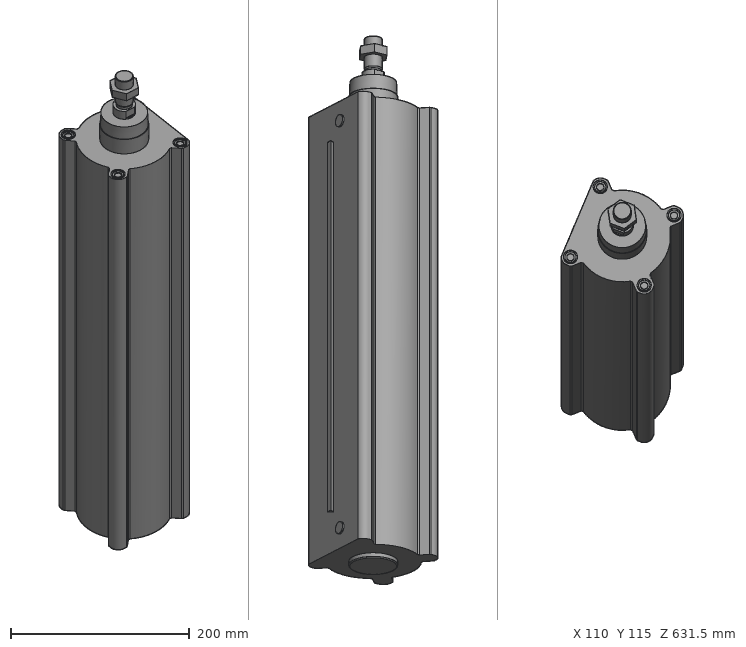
import cadquery as cq
import math

TOTAL_HEIGHT = 631.5
REAR_BOSS_HEIGHT = 5.5
BARREL_TOP = 541.0
BARREL_LENGTH = BARREL_TOP - REAR_BOSS_HEIGHT
COLLAR_STEP = 562.0
COLLAR_TOP = 579.0

HALF_WIDTH = 55.0
BARREL_DIAMETER = 108.0
BARREL_RADIUS = BARREL_DIAMETER / 2
BACK_FACE_Y = 54.0
SCREW_SPACING = 89.0
SCREW_OFFSET = SCREW_SPACING / 2
LOBE_RADIUS = HALF_WIDTH - SCREW_OFFSET
LOBE_FLAT = 4.0
LOBE_BEVEL_RUN = 2.0
LOBE_BEVEL_DROP = 0.95
NOTCH_FLOOR_START = 31.0
NOTCH_FLOOR_END = 28.5

BOSS_DIAMETER = 55.0
REAR_BOSS_CHAMFER = 1.0
COLLAR_BASE_DIAMETER = 53.5
COLLAR_TOP_DIAMETER = 52.5

SCREW_RECESS_DIAMETER = 16.0
SCREW_RECESS_DEPTH = 0.5
SCREW_SEAT_DIAMETER = 12.5
SCREW_SEAT_DEPTH = 1.0
SCREW_SOCKET_DIAMETER = 8.0
SCREW_SOCKET_DEPTH = 2.5

RAIL_BOTTOM = 53.0
RAIL_TOP = 496.0
RAIL_CREST_Y = 60.0
RAIL_CREST_WIDTH = 7.0
RAIL_FOOT_WIDTH = 1.0

PLUG_DIAMETER = 14.0
PLUG_HEIGHT = 2.0
PLUG_X = -14.0
PLUG_END_DISTANCE = 24.0

ROD_DIAMETER = 25.0
ROD_TOP = 590.5
ROD_FLATS_WIDTH = 22.0
ROD_FLATS_BOTTOM = 581.0
RELIEF_DIAMETER = 18.0
RELIEF_TOP = 593.5
THREAD_START = 595.5
THREAD_DIAMETER = 20.0
THREAD_CHAMFER = 0.5

NUT_ACROSS_FLATS = 29.5
NUT_BOTTOM = 609.5
NUT_THICKNESS = 10.0


def cylinder(diameter, bottom, top):
    """Round bar on the axis between two heights."""
    return cq.Workplane("XY").workplane(offset=bottom).circle(diameter / 2).extrude(top - bottom)


def cone(bottom_diameter, top_diameter, bottom, top):
    """Truncated cone on the axis between two heights."""
    return (
        cq.Workplane("XY")
        .workplane(offset=bottom)
        .circle(bottom_diameter / 2)
        .workplane(offset=top - bottom)
        .circle(top_diameter / 2)
        .loft()
    )


def lobe():
    """Lobe around the tie screw in the +X +Y corner, merging into the barrel along 45 degree flanks."""
    flat_end = SCREW_OFFSET - LOBE_FLAT
    bevel_end = (flat_end - LOBE_BEVEL_RUN, HALF_WIDTH - LOBE_BEVEL_DROP)
    flank_foot = (NOTCH_FLOOR_START, bevel_end[1] - (bevel_end[0] - NOTCH_FLOOR_START))
    floor_end = (NOTCH_FLOOR_END, math.sqrt(BARREL_RADIUS**2 - NOTCH_FLOOR_END**2))
    upper_side = [floor_end, flank_foot, bevel_end, (flat_end, HALF_WIDTH), (SCREW_OFFSET, HALF_WIDTH)]
    right_side = [(y, x) for x, y in reversed(upper_side)]
    arc_middle = SCREW_OFFSET + LOBE_RADIUS * math.sqrt(0.5)
    return (
        cq.Workplane("XY")
        .workplane(offset=REAR_BOSS_HEIGHT)
        .moveTo(0, 0)
        .polyline(upper_side, includeCurrent=True)
        .threePointArc((arc_middle, arc_middle), right_side[0])
        .polyline(right_side[1:], includeCurrent=True)
        .close()
        .extrude(BARREL_LENGTH)
    )


def barrel():
    """Round barrel with four lobes and a flat back between the two +Y lobes."""
    body = cylinder(BARREL_DIAMETER, REAR_BOSS_HEIGHT, BARREL_TOP)
    for corner in range(4):
        body = body.union(lobe().rotate((0, 0, 0), (0, 0, 1), 90 * corner))
    back = (
        cq.Workplane("XY")
        .box(2 * SCREW_OFFSET, BACK_FACE_Y, BARREL_LENGTH, centered=(True, False, False))
        .translate((0, 0, REAR_BOSS_HEIGHT))
    )
    beyond_back = (
        cq.Workplane("XY")
        .box(4 * HALF_WIDTH, HALF_WIDTH, TOTAL_HEIGHT, centered=(True, False, False))
        .translate((0, BACK_FACE_Y, 0))
    )
    return body.union(back).cut(beyond_back)


def end_bosses():
    """Front collar, slightly conical above its step, and the short rear boss."""
    rear = cylinder(BOSS_DIAMETER, 0, BARREL_TOP).faces("<Z").chamfer(REAR_BOSS_CHAMFER)
    front = cylinder(BOSS_DIAMETER, BARREL_TOP, COLLAR_STEP)
    tip = cone(COLLAR_BASE_DIAMETER, COLLAR_TOP_DIAMETER, COLLAR_STEP, COLLAR_TOP)
    return rear.union(front).union(tip)


def screw_recesses():
    """Stepped recess at every tie screw."""
    recesses = cq.Workplane("XY")
    steps = [
        (SCREW_RECESS_DIAMETER, SCREW_RECESS_DEPTH),
        (SCREW_SEAT_DIAMETER, SCREW_SEAT_DEPTH),
        (SCREW_SOCKET_DIAMETER, SCREW_SOCKET_DEPTH),
    ]
    for x in (-SCREW_OFFSET, SCREW_OFFSET):
        for y in (-SCREW_OFFSET, SCREW_OFFSET):
            for diameter, depth in steps:
                step = cylinder(diameter, BARREL_TOP - depth, BARREL_TOP).translate((x, y, 0))
                recesses = recesses.union(step)
    return recesses


def sensor_rail():
    """Dovetail rail that widens away from the back face."""
    right_side = [(RAIL_FOOT_WIDTH / 2, BACK_FACE_Y), (RAIL_CREST_WIDTH / 2, RAIL_CREST_Y)]
    left_side = [(-x, y) for x, y in reversed(right_side)]
    return (
        cq.Workplane("XY")
        .workplane(offset=RAIL_BOTTOM)
        .polyline(right_side + left_side)
        .close()
        .extrude(RAIL_TOP - RAIL_BOTTOM)
    )


def port_plug(height):
    """Round plug on the back face at the given height."""
    plug = cq.Workplane("XZ").circle(PLUG_DIAMETER / 2).extrude(-PLUG_HEIGHT)
    return plug.translate((PLUG_X, BACK_FACE_Y, height))


def make_rod():
    """Piston rod with wrench flats, a thread relief and a threaded end."""
    shank = cylinder(ROD_DIAMETER, BARREL_TOP, ROD_TOP)
    flats = (
        cq.Workplane("XY")
        .box(ROD_FLATS_WIDTH, ROD_DIAMETER, ROD_TOP - ROD_FLATS_BOTTOM, centered=(True, True, False))
        .translate((0, 0, ROD_FLATS_BOTTOM))
    )
    below_flats = cylinder(ROD_DIAMETER, BARREL_TOP, ROD_FLATS_BOTTOM)
    shank = shank.intersect(flats.union(below_flats))
    relief = cylinder(RELIEF_DIAMETER, ROD_TOP, RELIEF_TOP)
    runout = cone(RELIEF_DIAMETER, THREAD_DIAMETER, RELIEF_TOP, THREAD_START)
    thread = cylinder(THREAD_DIAMETER, THREAD_START, TOTAL_HEIGHT).faces(">Z").chamfer(THREAD_CHAMFER)
    return shank.union(relief).union(runout).union(thread)


def make_housing():
    """Barrel, bosses, rail and plugs, with a bore that holds the rod."""
    body = barrel().union(end_bosses()).union(sensor_rail())
    for height in (REAR_BOSS_HEIGHT + PLUG_END_DISTANCE, BARREL_TOP - PLUG_END_DISTANCE):
        body = body.union(port_plug(height))
    rod_bore = cylinder(ROD_DIAMETER, BARREL_TOP, COLLAR_TOP)
    return body.cut(screw_recesses()).cut(rod_bore)


def make_nut():
    """Hexagonal lock nut on the rod thread, with flats facing -X and +X."""
    across_corners = NUT_ACROSS_FLATS / math.cos(math.radians(30))
    return (
        cq.Workplane("XY")
        .workplane(offset=NUT_BOTTOM)
        .polygon(6, across_corners)
        .circle(THREAD_DIAMETER / 2)
        .extrude(NUT_THICKNESS)
        .rotate((0, 0, 0), (0, 0, 1), 90)
    )


housing = make_housing()
rod = make_rod()
nut = make_nut()

result = cq.Compound.makeCompound([housing.val(), rod.val(), nut.val()])